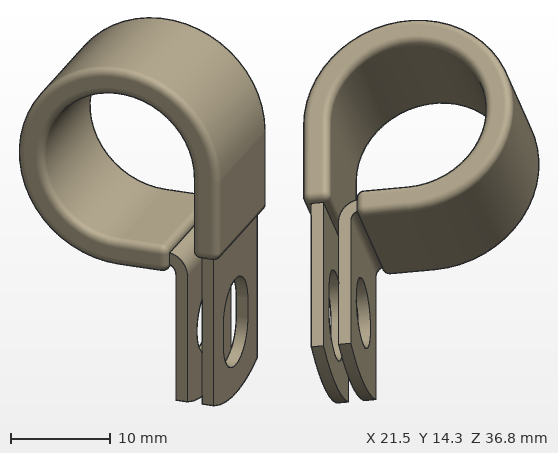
import cadquery as cq
import math

overall_height = 36.85
overall_width = 21.5
cushion_depth = 14.3
strap_thickness = 1.25
cover = 0.77
lower_lip_end = 5.27
bend_outer_radius = 2.32
hole_diameter = 7.15
slot_travel = 1.15
hole_drop = 29.0
end_sagitta = 1.3

outer_radius = overall_width / 2
strap_outer_radius = outer_radius - cover
strap_inner_radius = strap_outer_radius - strap_thickness
inner_radius = strap_inner_radius - cover
upper_lip_end = -strap_inner_radius
strap_width = cushion_depth - 2 * cover
bottom_z = outer_radius - overall_height
hole_z = outer_radius - hole_drop
bent_tab_outer_x = strap_inner_radius - 2 * cover
bent_tab_inner_x = bent_tab_outer_x - strap_thickness
bend_start_x = bent_tab_outer_x - bend_outer_radius
bend_inner_radius = bend_outer_radius - strap_thickness
bend_center_z = -strap_inner_radius - bend_outer_radius
diagonal = math.sqrt(0.5)


def extrude_centered(profile, width):
    """Extrude an XZ profile symmetrically about the XZ plane."""
    return profile.close().extrude(width / 2, both=True)


def make_cushion():
    """Three-quarter loop with two straight lips and every outer edge rounded."""
    profile = (
        cq.Workplane("XZ")
        .moveTo(outer_radius, upper_lip_end)
        .lineTo(outer_radius, 0)
        .threePointArc((-outer_radius * diagonal, outer_radius * diagonal), (0, -outer_radius))
        .lineTo(lower_lip_end, -outer_radius)
        .lineTo(lower_lip_end, -inner_radius)
        .lineTo(0, -inner_radius)
        .threePointArc((-inner_radius * diagonal, inner_radius * diagonal), (inner_radius, 0))
        .lineTo(inner_radius, upper_lip_end)
    )
    cushion = extrude_centered(profile, cushion_depth)
    lip_corners = [
        (inner_radius, upper_lip_end),
        (outer_radius, upper_lip_end),
        (lower_lip_end, -inner_radius),
        (lower_lip_end, -outer_radius),
    ]
    edges = cushion.faces("|Y").edges()
    for x, z in lip_corners:
        edges = edges.add(cushion.edges(cq.NearestToPointSelector((x, 0, z))))
    return edges.fillet(cover)


def make_straight_tab():
    """Strap end that runs straight down from the side of the loop."""
    profile = (
        cq.Workplane("XZ")
        .moveTo(strap_inner_radius, 0)
        .lineTo(strap_outer_radius, 0)
        .lineTo(strap_outer_radius, bottom_z)
        .lineTo(strap_inner_radius, bottom_z)
    )
    return extrude_centered(profile, strap_width)


def make_bent_tab():
    """Strap end that leaves the lower lip and bends down beside the straight tab."""
    profile = (
        cq.Workplane("XZ")
        .moveTo(0, -strap_inner_radius)
        .lineTo(bend_start_x, -strap_inner_radius)
        .threePointArc(
            (bend_start_x + bend_outer_radius * diagonal, bend_center_z + bend_outer_radius * diagonal),
            (bent_tab_outer_x, bend_center_z),
        )
        .lineTo(bent_tab_outer_x, bottom_z)
        .lineTo(bent_tab_inner_x, bottom_z)
        .lineTo(bent_tab_inner_x, bend_center_z)
        .threePointArc(
            (bend_start_x + bend_inner_radius * diagonal, bend_center_z + bend_inner_radius * diagonal),
            (bend_start_x, -strap_outer_radius),
        )
        .lineTo(0, -strap_outer_radius)
    )
    return extrude_centered(profile, strap_width)


def round_tab_end(tabs):
    """Trim the lower end of both tabs to a shallow arc."""
    half_width = strap_width / 2
    side_z = bottom_z + end_sagitta
    outline = (
        cq.Workplane("YZ")
        .moveTo(-half_width, 0)
        .lineTo(-half_width, side_z)
        .threePointArc((0, bottom_z), (half_width, side_z))
        .lineTo(half_width, 0)
        .close()
        .extrude(outer_radius)
    )
    return tabs.intersect(outline)


def make_bolt_hole():
    """Round hole cutter for the bent tab."""
    return cq.Workplane("YZ").center(0, hole_z).circle(hole_diameter / 2).extrude(bent_tab_outer_x)


def make_bolt_slot():
    """Upright slot cutter for the straight tab, centred on the bolt hole."""
    slot_length = hole_diameter + 2 * slot_travel
    return (
        cq.Workplane("YZ")
        .center(0, hole_z)
        .slot2D(slot_length, hole_diameter, 90)
        .extrude(outer_radius)
    )


bent_tab = make_bent_tab().cut(make_bolt_hole())
straight_tab = make_straight_tab().cut(make_bolt_slot())
tabs = round_tab_end(straight_tab.union(bent_tab))
result = make_cushion().union(tabs)